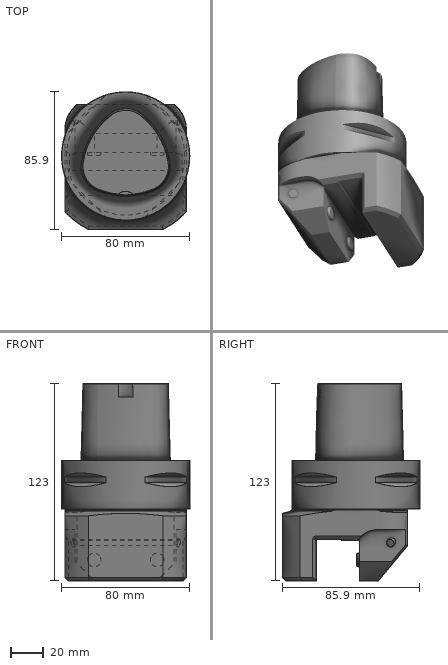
import cadquery as cq
import math

TOTAL_HEIGHT = 123.0

SHANK_BASE_Z = 75.0
LOBE_REACH = 29.6
FLAT_REACH = 25.2
LOBE_RADIUS = 16.4
SHANK_TAPER = 1 / 40
NOTCH_RADIUS = 6.3
NOTCH_DEPTH = 8.2
NOTCH_AXIS_Y = -28.3

FLANGE_RADIUS = 40.0
FLANGE_BASE_Z = 44.9
GROOVE_Z = 63.0
GROOVE_FLOOR_DISTANCE = 35.5
GROOVE_FLOOR_WIDTH = 3.5
GROOVE_WALL_ANGLE = 30.0

NECK_RADIUS = 36.9
SHOULDER_Z = 44.2
SHOULDER_CHAMFER = 0.7
SHOULDER_RIM_RADIUS = 40.8
SHOULDER_ANGLE = 15.0

BODY_HALF_WIDTH = 37.9
FRONT_Y = -45.9
BACK_Y = 32.2
FRONT_CORNER_RADIUS = 51.4
BACK_ROUND_START_Y = 16.2
BACK_ROUND_RADIUS = 20.2
BACK_CHAMFER = 1.2
EDGE_CHAMFER = 2.2

JAW_FACE_Y = 2.1
LEG_INNER_Y = -24.7
SLOT_ROOF_Z = 25.1
RECESS_END_Y = -9.0
RECESS_DEPTH = 0.6

JAW_HALF_WIDTH = 31.5
LEDGE_Z = 32.0
LEDGE_ARC_START_Y = 13.7
LEDGE_ARC_RADIUS = 14.8
LEDGE_ARC_SWEEP = 60.0
LEDGE_ROOT_FILLET = 0.7
JAW_LOWER_BEVEL = 12.0
JAW_SLANT_TOP_Z = 22.0
JAW_SLANT_BOTTOM_Y = 13.9

SCREW_RADIUS = 4.24
SCREW_X = 19.7
SCREW_Z = 13.0
SCREW_PROTRUSION = 1.7
SCREW_TIP_FILLET = 1.1

PIN_RADIUS = 2.52
PIN_TIP = (-33.2, 21.4, 23.5)
PIN_DIRECTION = (-1.4, -0.5, -0.5)
PIN_LENGTH = 7.4

MARGIN = 12.3


def mirrored_pair(shape):
    """The given -X side shape together with its mirror image."""
    return shape.union(shape.mirror("YZ"))


def polar(radius, degrees):
    angle = math.radians(degrees)
    return radius * math.cos(angle), radius * math.sin(angle)


def lobed_outline(z, inset):
    """Closed outline of six tangent arcs: three lobes and three shallow sides."""
    lobe_center = LOBE_REACH - LOBE_RADIUS
    excess = LOBE_REACH - FLAT_REACH
    side_center = excess * (2 * lobe_center - excess) / (lobe_center - 2 * excess)
    half_lobe = math.atan2(
        side_center * math.sin(math.radians(60)),
        lobe_center + side_center * math.cos(math.radians(60)),
    )
    lobe_radius = LOBE_RADIUS - inset
    joint_u = lobe_center + lobe_radius * math.cos(half_lobe)
    joint_v = lobe_radius * math.sin(half_lobe)
    joint_reach = math.hypot(joint_u, joint_v)
    joint_angle = math.degrees(math.atan2(joint_v, joint_u))

    outline = cq.Workplane("XY", origin=(0, 0, z)).moveTo(*polar(joint_reach, 90 - joint_angle))
    for lobe_angle in (90, 210, 330):
        outline = outline.threePointArc(
            polar(LOBE_REACH - inset, lobe_angle),
            polar(joint_reach, lobe_angle + joint_angle),
        )
        outline = outline.threePointArc(
            polar(FLAT_REACH - inset, lobe_angle + 60),
            polar(joint_reach, lobe_angle + 120 - joint_angle),
        )
    return outline.close().val()


def make_shank():
    top_inset = SHANK_TAPER * (TOTAL_HEIGHT - SHANK_BASE_Z)
    wires = [lobed_outline(SHANK_BASE_Z, 0), lobed_outline(TOTAL_HEIGHT, top_inset)]
    shank = cq.Workplane(obj=cq.Solid.makeLoft(wires, True))
    notch = (
        cq.Workplane("XY", origin=(0, NOTCH_AXIS_Y, TOTAL_HEIGHT - NOTCH_DEPTH))
        .circle(NOTCH_RADIUS)
        .extrude(NOTCH_DEPTH)
    )
    return shank.cut(notch)


def make_flange():
    flange = (
        cq.Workplane("XY", origin=(0, 0, FLANGE_BASE_Z))
        .circle(FLANGE_RADIUS)
        .extrude(SHANK_BASE_Z - FLANGE_BASE_Z)
    )
    depth = FLANGE_RADIUS - GROOVE_FLOOR_DISTANCE
    half_floor = GROOVE_FLOOR_WIDTH / 2
    half_mouth = half_floor + depth * math.tan(math.radians(GROOVE_WALL_ANGLE))
    groove = (
        cq.Workplane("XZ")
        .polyline([
            (GROOVE_FLOOR_DISTANCE, GROOVE_Z - half_floor),
            (FLANGE_RADIUS, GROOVE_Z - half_mouth),
            (FLANGE_RADIUS, GROOVE_Z + half_mouth),
            (GROOVE_FLOOR_DISTANCE, GROOVE_Z + half_floor),
        ])
        .close()
        .extrude(FLANGE_RADIUS, both=True)
    )
    for angle in (45, 135, 225, 315):
        flange = flange.cut(groove.rotate((0, 0, 0), (0, 0, 1), angle))
    return flange


def make_body_blank():
    """Prism of the body outline, chamfered below and turned to a cone above."""
    side_corner_y = -math.sqrt(FRONT_CORNER_RADIUS**2 - BODY_HALF_WIDTH**2)
    front_corner_x = math.sqrt(FRONT_CORNER_RADIUS**2 - FRONT_Y**2)
    back_round_end = (JAW_HALF_WIDTH, BACK_Y - BACK_CHAMFER)
    back_corner_x = JAW_HALF_WIDTH - BACK_CHAMFER
    prism = (
        cq.Workplane("XY")
        .moveTo(-front_corner_x, FRONT_Y)
        .lineTo(front_corner_x, FRONT_Y)
        .radiusArc((BODY_HALF_WIDTH, side_corner_y), -FRONT_CORNER_RADIUS)
        .lineTo(BODY_HALF_WIDTH, BACK_ROUND_START_Y)
        .radiusArc(back_round_end, -BACK_ROUND_RADIUS)
        .lineTo(back_corner_x, BACK_Y)
        .lineTo(-back_corner_x, BACK_Y)
        .lineTo(-back_round_end[0], back_round_end[1])
        .radiusArc((-BODY_HALF_WIDTH, BACK_ROUND_START_Y), -BACK_ROUND_RADIUS)
        .lineTo(-BODY_HALF_WIDTH, side_corner_y)
        .radiusArc((-front_corner_x, FRONT_Y), -FRONT_CORNER_RADIUS)
        .close()
        .extrude(FLANGE_BASE_Z)
        .faces("<Z")
        .chamfer(EDGE_CHAMFER)
    )
    outer_radius = FRONT_CORNER_RADIUS + MARGIN
    rim_z = SHOULDER_Z - SHOULDER_CHAMFER
    cone_drop = (outer_radius - SHOULDER_RIM_RADIUS) * math.tan(math.radians(SHOULDER_ANGLE))
    turned = (
        cq.Workplane("XZ")
        .polyline([
            (0, 0),
            (outer_radius, 0),
            (outer_radius, rim_z - cone_drop),
            (SHOULDER_RIM_RADIUS, rim_z),
            (SHOULDER_RIM_RADIUS - SHOULDER_CHAMFER, SHOULDER_Z),
            (NECK_RADIUS, SHOULDER_Z),
            (NECK_RADIUS, FLANGE_BASE_Z),
            (0, FLANGE_BASE_Z),
        ])
        .close()
        .revolve(360, (0, 0, 0), (0, 1, 0))
    )
    return prism.intersect(turned)


def make_slot():
    """Tool slot, its roof recessed next to the leg."""
    recess_z = SLOT_ROOF_Z + RECESS_DEPTH
    return (
        cq.Workplane("YZ")
        .polyline([
            (JAW_FACE_Y, 0),
            (JAW_FACE_Y, SLOT_ROOF_Z),
            (RECESS_END_Y, SLOT_ROOF_Z),
            (RECESS_END_Y, recess_z),
            (LEG_INNER_Y, recess_z),
            (LEG_INNER_Y, 0),
        ])
        .close()
        .extrude(BODY_HALF_WIDTH + MARGIN, both=True)
    )


def make_slot_chamfer():
    """Bevel of the slot roof and leg edges on the -X side, coned at their corner."""
    roof_z = SLOT_ROOF_Z + RECESS_DEPTH
    depth = EDGE_CHAMFER + RECESS_DEPTH
    roof_bevel = (
        cq.Workplane("XZ", origin=(0, LEDGE_ARC_START_Y, 0))
        .moveTo(-BODY_HALF_WIDTH, roof_z + EDGE_CHAMFER)
        .lineTo(-BODY_HALF_WIDTH, SLOT_ROOF_Z)
        .lineTo(-BODY_HALF_WIDTH + depth, SLOT_ROOF_Z)
        .close()
        .extrude(LEDGE_ARC_START_Y - LEG_INNER_Y)
    )
    leg_bevel = (
        cq.Workplane("XY")
        .moveTo(-BODY_HALF_WIDTH, LEG_INNER_Y - EDGE_CHAMFER)
        .lineTo(-BODY_HALF_WIDTH, LEG_INNER_Y)
        .lineTo(-BODY_HALF_WIDTH + EDGE_CHAMFER, LEG_INNER_Y)
        .close()
        .extrude(roof_z)
    )
    corner = cq.Workplane(obj=cq.Solid.makeCone(
        EDGE_CHAMFER, 0, EDGE_CHAMFER,
        cq.Vector(-BODY_HALF_WIDTH, LEG_INNER_Y, roof_z), cq.Vector(1, 0, 0),
    ))
    return roof_bevel.union(leg_bevel).union(corner)


def make_ledge_cut():
    """Material beside the jaw on the -X side, under a ledge that curves down to the slot."""
    sweep = math.radians(LEDGE_ARC_SWEEP)
    arc_end_y = LEDGE_ARC_START_Y - LEDGE_ARC_RADIUS * math.sin(sweep)
    arc_end_z = LEDGE_Z - LEDGE_ARC_RADIUS * (1 - math.cos(sweep))
    return (
        cq.Workplane("YZ", origin=(-JAW_HALF_WIDTH, 0, 0))
        .moveTo(arc_end_y, -MARGIN)
        .lineTo(arc_end_y, arc_end_z)
        .radiusArc((LEDGE_ARC_START_Y, LEDGE_Z), LEDGE_ARC_RADIUS)
        .lineTo(BACK_Y + MARGIN, LEDGE_Z)
        .lineTo(BACK_Y + MARGIN, -MARGIN)
        .close()
        .extrude(-MARGIN)
        .faces(">X")
        .edges("%CIRCLE or >Z")
        .fillet(LEDGE_ROOT_FILLET)
    )


def make_jaw_bevel():
    """45 degree bevel under the jaw on the -X side."""
    return (
        cq.Workplane("XZ", origin=(0, JAW_FACE_Y, 0))
        .moveTo(-JAW_HALF_WIDTH, 0)
        .lineTo(-JAW_HALF_WIDTH, JAW_LOWER_BEVEL)
        .lineTo(-JAW_HALF_WIDTH + JAW_LOWER_BEVEL, 0)
        .close()
        .extrude(-(BACK_Y - JAW_FACE_Y))
    )


def make_jaw_slant():
    """Slanted underside at the back of the jaw."""
    return (
        cq.Workplane("YZ")
        .polyline([(BACK_Y, JAW_SLANT_TOP_Z), (JAW_SLANT_BOTTOM_Y, 0), (BACK_Y, 0)])
        .close()
        .extrude(BODY_HALF_WIDTH, both=True)
    )


def make_slant_edge_bevel():
    """Narrow bevel between the slanted underside and the -X flank of the jaw."""
    run = BACK_Y - JAW_SLANT_BOTTOM_Y
    slant_length = math.hypot(run, JAW_SLANT_TOP_Z)
    section = cq.Plane(
        origin=(-JAW_HALF_WIDTH, JAW_SLANT_BOTTOM_Y, 0),
        xDir=(1, 0, 0),
        normal=(0, run, JAW_SLANT_TOP_Z),
    )
    return (
        cq.Workplane(section)
        .polyline([(0, -BACK_CHAMFER), (BACK_CHAMFER, 0), (0, 0)])
        .close()
        .extrude(slant_length)
    )


def make_screw_tip():
    return (
        cq.Workplane("XZ", origin=(-SCREW_X, JAW_FACE_Y, SCREW_Z))
        .circle(SCREW_RADIUS)
        .extrude(SCREW_PROTRUSION)
        .faces("<Y")
        .edges()
        .fillet(SCREW_TIP_FILLET)
    )


def make_side_pin():
    tip = cq.Vector(*PIN_TIP)
    inward = cq.Vector(*PIN_DIRECTION) * -1
    return cq.Workplane(obj=cq.Solid.makeCylinder(PIN_RADIUS, PIN_LENGTH, tip, inward))


body = make_body_blank().cut(make_slot()).cut(make_jaw_slant())
for one_side_cut in (make_slot_chamfer(), make_ledge_cut(), make_jaw_bevel(), make_slant_edge_bevel()):
    body = body.cut(mirrored_pair(one_side_cut))

result = (
    body.union(make_flange())
    .union(make_shank())
    .union(mirrored_pair(make_screw_tip()))
    .union(mirrored_pair(make_side_pin()))
)